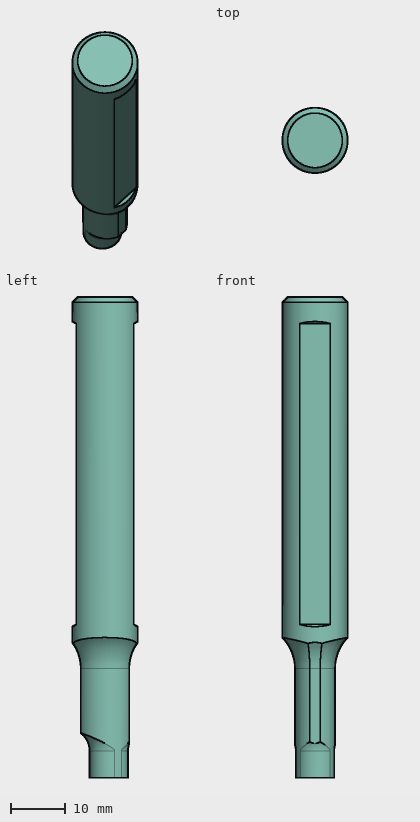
import cadquery as cq
import math

total_length = 88.1
shank_radius = 6.0
end_chamfer = 1.0
flat_distance = 5.3
flat_bottom = 27.7
flat_top = 83.6
flat_ramp_angle = 30.0

neck_half_width = 3.7
neck_half_depth = 4.46
neck_arc_radius = 5.0
neck_top = 20.1
flare_radius = 8.0

head_radius = 3.545
head_center_y = -0.7
head_length = 5.0
head_runout_radius = 4.0

neck_arc_offset = neck_arc_radius - neck_half_width


def flared_outline(plane, start, flare_start, flare_size):
    """Half section of a straight side that curves outwards at its upper end, closed above the part."""
    return (
        cq.Workplane(plane)
        .lineTo(start, 0)
        .lineTo(start, flare_start)
        .radiusArc((start + flare_size, flare_start + flare_size), flare_size)
        .lineTo(start + flare_size, total_length)
        .lineTo(0, total_length)
        .close()
    )


def flared_round(radius, flare_start, flare_size):
    """Round column about Z that widens in a concave curve above flare_start."""
    return flared_outline("XZ", radius, flare_start, flare_size).revolve(360, (0, 0, 0), (0, 1, 0))


def make_neck():
    """Lens-shaped column whose four sides all flare outwards at the top."""
    side = flared_round(neck_arc_radius, neck_top, flare_radius)
    lens = side.translate((-neck_arc_offset, 0, 0)).intersect(side.translate((neck_arc_offset, 0, 0)))
    half_slab = flared_outline("YZ", neck_half_depth, neck_top, flare_radius).extrude(shank_radius, both=True)
    slab = half_slab.union(half_slab.mirror("XZ"))
    return lens.intersect(slab)


def make_head_envelope():
    """Round tip that runs out into the neck in a concave curve."""
    return flared_round(head_radius, head_length, head_runout_radius).translate((0, head_center_y, 0))


def make_shank_envelope():
    """Plain round bar over the full length with a chamfered upper end."""
    return cq.Workplane("XY").circle(shank_radius).extrude(total_length).faces(">Z").chamfer(end_chamfer)


def make_flat_cutter():
    """Trapezoidal block that cuts the -Y flat and its sloping end ramps."""
    ramp_height = (shank_radius - flat_distance) * math.tan(math.radians(flat_ramp_angle))
    return (
        cq.Workplane("YZ")
        .moveTo(-shank_radius, flat_bottom)
        .lineTo(-flat_distance, flat_bottom + ramp_height)
        .lineTo(-flat_distance, flat_top - ramp_height)
        .lineTo(-shank_radius, flat_top)
        .close()
        .extrude(shank_radius, both=True)
    )


def make_part():
    head = make_head_envelope()
    limit_top = head_length + head_runout_radius
    above = cq.Workplane("XY").workplane(offset=limit_top).circle(2 * shank_radius).extrude(total_length)
    body = make_shank_envelope().intersect(make_neck()).intersect(head.union(above))
    cutter = make_flat_cutter()
    return body.cut(cutter).cut(cutter.mirror("XZ"))


result = make_part()